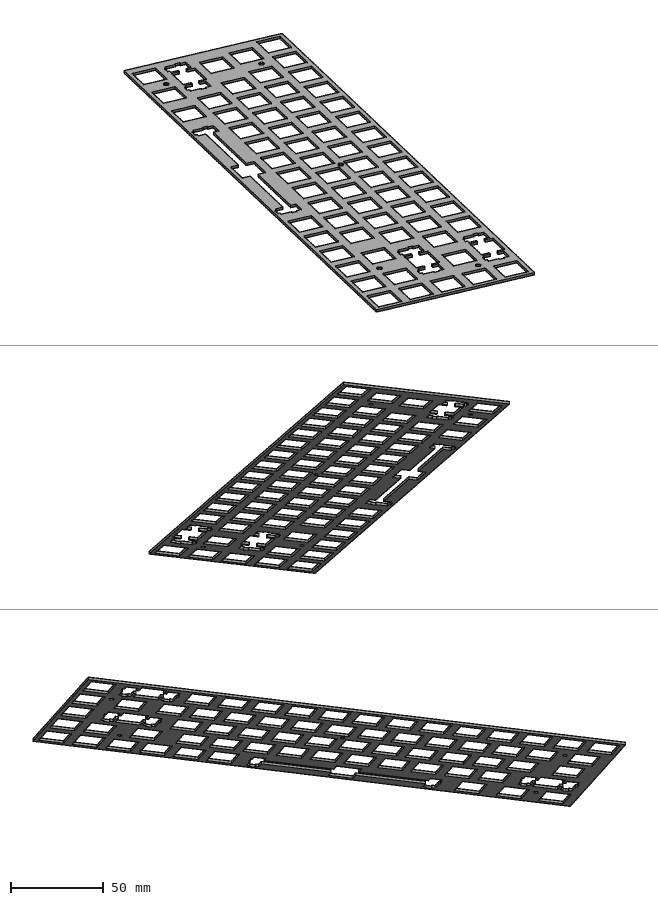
import cadquery as cq

length = 304.8
columns = 16
rows = 5
pitch = length / columns
width = rows * pitch
thickness = 1.5

switch_size = 14.0
half_switch = switch_size / 2

pocket_width = 6.7
pocket_top_gap = 1.45
pocket_bottom_gap = 0.25
pocket_above = half_switch - pocket_top_gap
pocket_below = half_switch - pocket_bottom_gap
foot_width = 3.5
foot_length = 1.2
ear_depth = 0.82
ear_below = 0.5
channel_reach = 2.32

pocket_web = 1.55
short_stabiliser_offset = half_switch + pocket_web + pocket_width / 2
long_stabiliser_offset = 50.0

key_rows = [
    [1] * 13 + [2, 1],
    [1.5] + [1] * 12 + [1.5, 1],
    [1.75] + [1] * 11 + [2.25, 1],
    [2.25] + [1] * 10 + [1.75, 1, 1],
    [1.25] * 3 + [6.25] + [1] * 6,
]
smallest_stabilised_key = 2
smallest_long_key = 6

hole_diameter = 2.2
countersink_diameter = 3.0
countersink_angle = 90
hole_places = [(26.0, 25.3), (147.8, 38.5), (283.8, 23.5), (263.0, 72.5), (23.8, 81.7)]


def block(left, right, bottom, top):
    """Rectangular block as thick as the plate."""
    return (
        cq.Workplane("XY")
        .box(right - left, top - bottom, thickness, centered=False)
        .translate((left, bottom, 0))
    )


def stabiliser_cutter(offset):
    """Two eared and footed pockets joined by a channel, centred on the switch."""
    cutter = block(-offset, offset, -channel_reach, channel_reach)
    for side in (-1, 1):
        x = side * offset
        ear_tip = x + side * (pocket_width / 2 + ear_depth)
        pocket = block(x - pocket_width / 2, x + pocket_width / 2, -pocket_below, pocket_above)
        foot = block(x - foot_width / 2, x + foot_width / 2, -pocket_below - foot_length, 0)
        ear = block(min(x, ear_tip), max(x, ear_tip), -ear_below, channel_reach)
        cutter = cutter.union(pocket).union(foot).union(ear)
    return cutter


switch_centres = []
stabilisers = []
for row, key_widths in enumerate(key_rows):
    y = -(row + 0.5) * pitch
    key_left = 0
    for key_width in key_widths:
        x = (key_left + key_width / 2) * pitch
        switch_centres.append((x, y))
        if key_width >= smallest_stabilised_key:
            is_long = key_width >= smallest_long_key
            offset = long_stabiliser_offset if is_long else short_stabiliser_offset
            stabilisers.append(stabiliser_cutter(offset).translate((x, y, 0)))
        key_left += key_width

plate = block(0, length, -width, 0)
switches = (
    cq.Workplane("XY")
    .pushPoints(switch_centres)
    .rect(switch_size, switch_size)
    .extrude(thickness)
)
plate = plate.cut(switches)
for stabiliser in stabilisers:
    plate = plate.cut(stabiliser)

hole_centres = [(from_left, -from_top) for from_left, from_top in hole_places]
result = (
    plate.faces(">Z")
    .workplane(origin=(0, 0, thickness))
    .pushPoints(hole_centres)
    .cskHole(hole_diameter, countersink_diameter, countersink_angle)
)